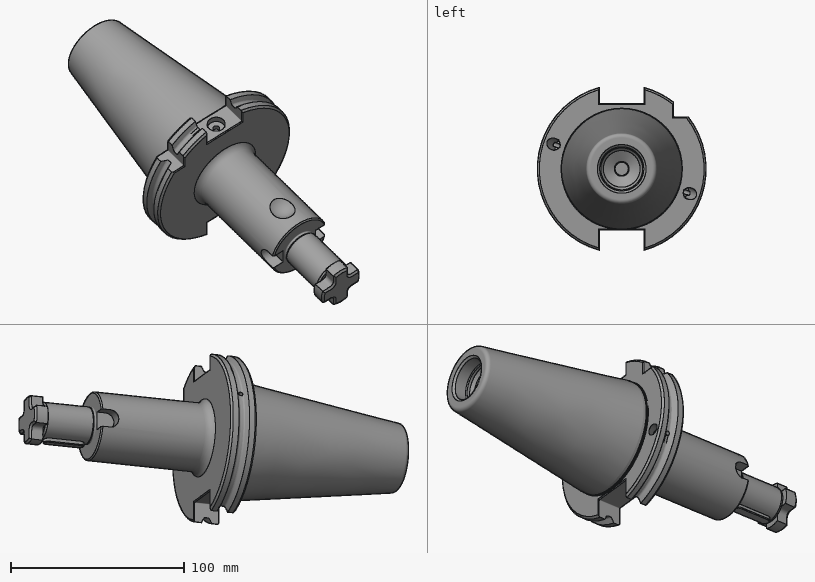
import cadquery as cq
import math


TAPER_LENGTH = 101.75
GAUGE_RADIUS = 34.925
TAPER_SLOPE = 7 / 48
SHANK_END_RADIUS = GAUGE_RADIUS - TAPER_LENGTH * TAPER_SLOPE
SHANK_END_ROUND = 2.5
RELIEF_START = 1.7

RELIEF_DEPTH = 0.3
RELIEF_RAMP = 0.6
RELIEF_ROUND = 0.4

BORE_RADIUS = 12.75
BORE_DEPTH = 8.8
BORE_MOUTH_CHAMFER = 1.3
STEP_RADIUS = 12.1
STEP_CHAMFER_LENGTH = 0.6
STEP_DEPTH = 11.2
CONE_MOUTH_RADIUS = 10.6
CONE_MOUTH_DEPTH = 13.4
COOLANT_RADIUS = 4.25
DRILL_POINT_HALF_ANGLE = 59.0

FLANGE_START = 3.2
FLANGE_END = 19.1
FLANGE_RADIUS = 97.5 / 2
FLANGE_CHAMFER = 1.2
GROOVE_CENTRE = 11.1
GROOVE_HALF_ANGLE = 30.0
GROOVE_APEX_RADIUS = 43.1
GROOVE_FLOOR_RADIUS = 45.6
GROOVE_FLOOR_ROUND = 1.0
GROOVE_OVERCUT = 1.0

SLOT_WIDTH = 25.7
UPPER_SLOT_FLOOR = 37.7
LOWER_SLOT_FLOOR = 35.3
NOTCH_OFFSET = 30.0
CUTOUT_CORNER_ROUND = 0.4
CUTOUT_EDGE_CHAMFER = 0.6
SLOT_HOLE_DIAMETER = 10.4
SLOT_HOLE_DEPTH = 4.0
SLOT_PILOT_DIAMETER = 4.0
SLOT_PILOT_DEPTH = 3.0
FACE_HOLE_DIAMETER = 6.8
FACE_HOLE_CIRCLE_RADIUS = 41.9
FACE_HOLE_ANGLE = 20.0
FACE_HOLE_TILT = 30.0
FACE_HOLE_DEPTH = 8.0
VENT_DIAMETER = 2.5

NOSE_RADIUS = 20.0
NOSE_END = 88.0
NOSE_CHAMFER = 0.8
NECK_ARC_RADIUS = 6.0
NECK_LENGTH = 5.0
DIMPLE_X = 72.4
DIMPLE_RADIUS = 10.7
DIMPLE_DEPTH = 3.5
DRIVE_SLOT_WIDTH = 10.4
DRIVE_SLOT_LENGTH = 10.3
DRIVE_SLOT_FLOOR = 12.0
PILOT_RADIUS = 11.0
PILOT_END = NOSE_END + 31.0
PILOT_CHAMFER_LENGTH = 1.3
PILOT_CHAMFER_DEPTH = 0.5
UNDERCUT_LENGTH = 2.0

KEY_WIDTH = 6.0
KEY_LENGTH = 25.0
KEY_START = 91.8
KEY_TOP = 13.0
KEY_HEIGHT = 6.0
KEY_CHAMFER = 0.5

HEAD_RADIUS = 14.0
HEAD_LENGTH = 8.0
HEAD_CHAMFER = 1.2
LOBE_WIDTH = 10.4
LOBE_ROOT_ROUND = 2.6
SHANK_RADIUS = 5.0
SHANK_LENGTH = 25.0
SHANK_CHAMFER = 1.2


def revolve_about_x(profile):
    return profile.close().revolve(360, (0, 0, 0), (1, 0, 0))


def cylinder_along_x(radius, start, length):
    return cq.Workplane("YZ", origin=(start, 0, 0)).circle(radius).extrude(length)


def box_between(x_range, y_range, z_range):
    low, high = zip(x_range, y_range, z_range)
    size = [b - a for a, b in zip(low, high)]
    return cq.Workplane("XY").box(*size, centered=False).translate(low)


def arbor_blank():
    neck_end = FLANGE_END + NECK_LENGTH

    def neck_radius(x):
        drop = math.sqrt(NECK_ARC_RADIUS ** 2 - (neck_end - x) ** 2)
        return NOSE_RADIUS + NECK_ARC_RADIUS - drop

    taper_relief = GAUGE_RADIUS - RELIEF_DEPTH
    pilot_relief = PILOT_RADIUS - RELIEF_DEPTH
    undercut_end = NOSE_END + UNDERCUT_LENGTH
    neck_middle = (FLANGE_END + neck_end) / 2
    profile = (
        cq.Workplane("XZ")
        .moveTo(-TAPER_LENGTH, 0)
        .lineTo(-TAPER_LENGTH, SHANK_END_RADIUS)
        .lineTo(0, GAUGE_RADIUS)
        .lineTo(RELIEF_START, GAUGE_RADIUS)
        .lineTo(RELIEF_START + RELIEF_RAMP, taper_relief)
        .lineTo(FLANGE_START - RELIEF_ROUND, taper_relief)
        .radiusArc((FLANGE_START, taper_relief + RELIEF_ROUND), -RELIEF_ROUND)
        .lineTo(FLANGE_START, FLANGE_RADIUS - FLANGE_CHAMFER)
        .lineTo(FLANGE_START + FLANGE_CHAMFER, FLANGE_RADIUS)
        .lineTo(FLANGE_END - FLANGE_CHAMFER, FLANGE_RADIUS)
        .lineTo(FLANGE_END, FLANGE_RADIUS - FLANGE_CHAMFER)
        .lineTo(FLANGE_END, neck_radius(FLANGE_END))
        .threePointArc((neck_middle, neck_radius(neck_middle)), (neck_end, NOSE_RADIUS))
        .lineTo(NOSE_END - NOSE_CHAMFER, NOSE_RADIUS)
        .lineTo(NOSE_END, NOSE_RADIUS - NOSE_CHAMFER)
        .lineTo(NOSE_END, pilot_relief + RELIEF_ROUND)
        .radiusArc((NOSE_END + RELIEF_ROUND, pilot_relief), -RELIEF_ROUND)
        .lineTo(undercut_end - RELIEF_RAMP, pilot_relief)
        .lineTo(undercut_end, PILOT_RADIUS)
        .lineTo(PILOT_END - PILOT_CHAMFER_LENGTH, PILOT_RADIUS)
        .lineTo(PILOT_END, PILOT_RADIUS - PILOT_CHAMFER_DEPTH)
        .lineTo(PILOT_END, 0)
    )
    return revolve_about_x(profile).faces("<X").edges().fillet(SHANK_END_ROUND)


def gripper_groove():
    flank_slope = math.tan(math.radians(GROOVE_HALF_ANGLE))
    mouth_radius = FLANGE_RADIUS + GROOVE_OVERCUT
    mouth_half = (mouth_radius - GROOVE_APEX_RADIUS) * flank_slope
    floor_half = (GROOVE_FLOOR_RADIUS - GROOVE_APEX_RADIUS) * flank_slope
    ring = revolve_about_x(
        cq.Workplane("XZ")
        .moveTo(GROOVE_CENTRE - mouth_half, mouth_radius)
        .lineTo(GROOVE_CENTRE - floor_half, GROOVE_FLOOR_RADIUS)
        .lineTo(GROOVE_CENTRE + floor_half, GROOVE_FLOOR_RADIUS)
        .lineTo(GROOVE_CENTRE + mouth_half, mouth_radius)
    )
    floor_edges = ring.edges("%CIRCLE").edges(cq.selectors.RadiusNthSelector(0))
    return floor_edges.fillet(GROOVE_FLOOR_ROUND)


def flange_cutouts():
    """Two driving slots and a corner notch, flared at both flange faces to chamfer their rims."""
    x_range = (FLANGE_START, FLANGE_END)
    rim = 2 * FLANGE_RADIUS
    flare = CUTOUT_EDGE_CHAMFER
    half_slot = SLOT_WIDTH / 2
    slot_y = (-half_slot, half_slot)
    outlines = (
        (slot_y, (UPPER_SLOT_FLOOR, rim)),
        (slot_y, (-rim, -LOWER_SLOT_FLOOR)),
        ((-rim, -NOTCH_OFFSET), (NOTCH_OFFSET, rim)),
    )
    cutters = []
    for y_range, z_range in outlines:
        (y_low, y_high), (z_low, z_high) = y_range, z_range
        cutters.append(box_between(x_range, y_range, z_range).edges("|X").fillet(CUTOUT_CORNER_ROUND))
        for face_x, inward in ((FLANGE_START, 1), (FLANGE_END, -1)):
            cutters.append(
                cq.Workplane("YZ", origin=(face_x, (y_low + y_high) / 2, (z_low + z_high) / 2))
                .rect(y_high - y_low + 2 * flare, z_high - z_low + 2 * flare)
                .workplane(offset=inward * flare)
                .rect(y_high - y_low, z_high - z_low)
                .loft(ruled=True)
            )
    return cutters


def slot_floor_hole():
    return (
        cq.Workplane("XY", origin=(GROOVE_CENTRE, 0, UPPER_SLOT_FLOOR))
        .circle(SLOT_HOLE_DIAMETER / 2)
        .extrude(-SLOT_HOLE_DEPTH)
        .faces("<Z")
        .workplane()
        .circle(SLOT_PILOT_DIAMETER / 2)
        .extrude(SLOT_PILOT_DEPTH)
    )


def flange_face_hole(turn):
    """Slanted hole in the rear flange face with its radial vent, turned about X."""
    tilt = math.radians(FACE_HOLE_TILT)
    direction = cq.Vector(math.cos(tilt), -math.sin(tilt), 0)
    mouth = cq.Vector(FLANGE_START, FACE_HOLE_CIRCLE_RADIUS, 0)
    run_in = FACE_HOLE_DIAMETER / 2
    slanted = cq.Solid.makeCylinder(
        FACE_HOLE_DIAMETER / 2, FACE_HOLE_DEPTH + run_in, mouth - direction * run_in, direction
    )
    vent_length = FLANGE_RADIUS - FACE_HOLE_CIRCLE_RADIUS + FACE_HOLE_DIAMETER
    vent = cq.Solid.makeCylinder(
        VENT_DIAMETER / 2,
        vent_length,
        cq.Vector(GROOVE_CENTRE, FLANGE_RADIUS, 0),
        cq.Vector(0, -1, 0),
    )
    hole = cq.Workplane(slanted).union(cq.Workplane(vent))
    return hole.rotate((0, 0, 0), (1, 0, 0), turn)


def drawbar_bore():
    start = -TAPER_LENGTH
    cone_start = start + CONE_MOUTH_DEPTH
    cone_length = (CONE_MOUTH_RADIUS - COOLANT_RADIUS) / math.tan(math.radians(DRILL_POINT_HALF_ANGLE))
    return revolve_about_x(
        cq.Workplane("XZ")
        .moveTo(start, 0)
        .lineTo(start, BORE_RADIUS + BORE_MOUTH_CHAMFER)
        .lineTo(start + BORE_MOUTH_CHAMFER, BORE_RADIUS)
        .lineTo(start + BORE_DEPTH, BORE_RADIUS)
        .lineTo(start + BORE_DEPTH + STEP_CHAMFER_LENGTH, STEP_RADIUS)
        .lineTo(start + STEP_DEPTH, STEP_RADIUS)
        .lineTo(cone_start, CONE_MOUTH_RADIUS)
        .lineTo(cone_start + cone_length, COOLANT_RADIUS)
        .lineTo(PILOT_END - SHANK_LENGTH, COOLANT_RADIUS)
        .lineTo(PILOT_END - SHANK_LENGTH, 0)
    )


def nose_dimple():
    centre_z = NOSE_RADIUS + DIMPLE_RADIUS - DIMPLE_DEPTH
    return cq.Workplane("XY").sphere(DIMPLE_RADIUS).translate((DIMPLE_X, 0, centre_z))


def drive_slot(side):
    """Round-ended slot in the nose face, on the +Y (side = 1) or -Y (side = -1) flank."""
    end_radius = DRIVE_SLOT_WIDTH / 2
    round_centre = NOSE_END - DRIVE_SLOT_LENGTH + end_radius
    profile = (
        cq.Workplane("XZ", origin=(0, side * DRIVE_SLOT_FLOOR, 0))
        .moveTo(NOSE_END, end_radius)
        .lineTo(round_centre, end_radius)
        .threePointArc((round_centre - end_radius, 0), (round_centre, -end_radius))
        .lineTo(NOSE_END, -end_radius)
        .close()
    )
    return profile.extrude(-side * (NOSE_RADIUS - DRIVE_SLOT_FLOOR))


def make_key():
    blank = (
        cq.Workplane("XY", origin=(KEY_START + KEY_LENGTH / 2, 0, -KEY_TOP))
        .slot2D(KEY_LENGTH, KEY_WIDTH)
        .extrude(KEY_HEIGHT)
    )
    return blank.faces("<Z").edges().chamfer(KEY_CHAMFER)


def make_screw():
    head_x = (PILOT_END, PILOT_END + HEAD_LENGTH)
    half = LOBE_WIDTH / 2
    across = (-half, half)
    along = (-HEAD_RADIUS, HEAD_RADIUS)
    cross = box_between(head_x, along, across).union(box_between(head_x, across, along))
    reach = half + LOBE_ROOT_ROUND
    inner_corners = cq.selectors.BoxSelector((head_x[0], -reach, -reach), (head_x[1], reach, reach))
    cross = cross.edges("|X").edges(inner_corners).fillet(LOBE_ROOT_ROUND)
    head = cylinder_along_x(HEAD_RADIUS, PILOT_END, HEAD_LENGTH).intersect(cross)
    head = head.faces(">X").edges().chamfer(HEAD_CHAMFER)
    shank = cylinder_along_x(SHANK_RADIUS, PILOT_END - SHANK_LENGTH, SHANK_LENGTH)
    return head.union(shank.faces("<X").edges().chamfer(SHANK_CHAMFER))


def make_arbor():
    body = arbor_blank().cut(gripper_groove()).cut(slot_floor_hole())
    for cutout in flange_cutouts():
        body = body.cut(cutout)
    for half_turn in (0, 180):
        body = body.cut(flange_face_hole(FACE_HOLE_ANGLE + half_turn))
    for side in (-1, 1):
        body = body.cut(drive_slot(side))
    body = body.cut(nose_dimple()).cut(drawbar_bore())
    screw_hole = cylinder_along_x(SHANK_RADIUS, PILOT_END - SHANK_LENGTH, SHANK_LENGTH)
    return body.cut(make_key()).cut(screw_hole)


arbor = make_arbor()
key = make_key()
screw = make_screw()

result = cq.Compound.makeCompound([arbor.val(), key.val(), screw.val()])